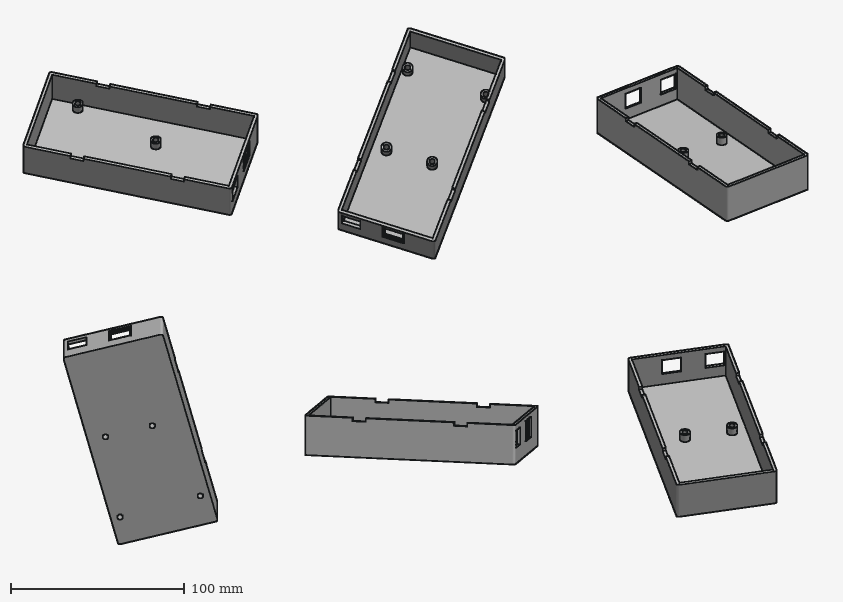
import cadquery as cq

length = 124.6
width = 59.4
height = 23.2
wall = 2.0
floor = 2.0
corner_radius = 1.5

notch_length = 7.8
notch_depth = 2.0
notch_offset = 30.0

post_diameter = 6.0
bore_diameter = 3.2
post_height = 5.0
post_centers = [(-44.0, 24.0), (-45.4, -24.2), (6.7, 8.8), (6.7, -19.1)]

window_width = 11.2
window_height = 10.0
window_above_floor = 7.5
inner_window_y = 4.2
corner_window_y = -21.4

recess_depth = 1.0
recess_margin = 1.0


def make_tray():
    outer = cq.Workplane("XY").box(length, width, height, centered=(True, True, False))
    outer = outer.edges("|Z").fillet(corner_radius)
    cavity = (
        cq.Workplane("XY")
        .workplane(offset=floor)
        .rect(length - 2 * wall, width - 2 * wall)
        .extrude(height - floor)
    )
    return outer.cut(cavity)


def make_notches():
    return (
        cq.Workplane("XY")
        .workplane(offset=height - notch_depth)
        .pushPoints([(-notch_offset, 0), (notch_offset, 0)])
        .rect(notch_length, width)
        .extrude(notch_depth)
    )


def make_end_wall_cutter(center_y, margin, depth):
    """Block reaching depth inward from the +X face, larger than a window by margin all round."""
    window_center_z = floor + window_above_floor + window_height / 2
    return (
        cq.Workplane("YZ")
        .workplane(offset=length / 2 - depth)
        .center(center_y, window_center_z)
        .rect(window_width + 2 * margin, window_height + 2 * margin)
        .extrude(depth)
    )


def make_cylinders(diameter, top):
    """Upright cylinders at the standoff centers, from the underside up to top."""
    return cq.Workplane("XY").pushPoints(post_centers).circle(diameter / 2).extrude(top)


post_top = floor + post_height
result = (
    make_tray()
    .cut(make_notches())
    .cut(make_end_wall_cutter(inner_window_y, 0, wall))
    .cut(make_end_wall_cutter(corner_window_y, 0, wall))
    .cut(make_end_wall_cutter(inner_window_y, recess_margin, recess_depth))
    .union(make_cylinders(post_diameter, post_top))
    .cut(make_cylinders(bore_diameter, post_top))
)